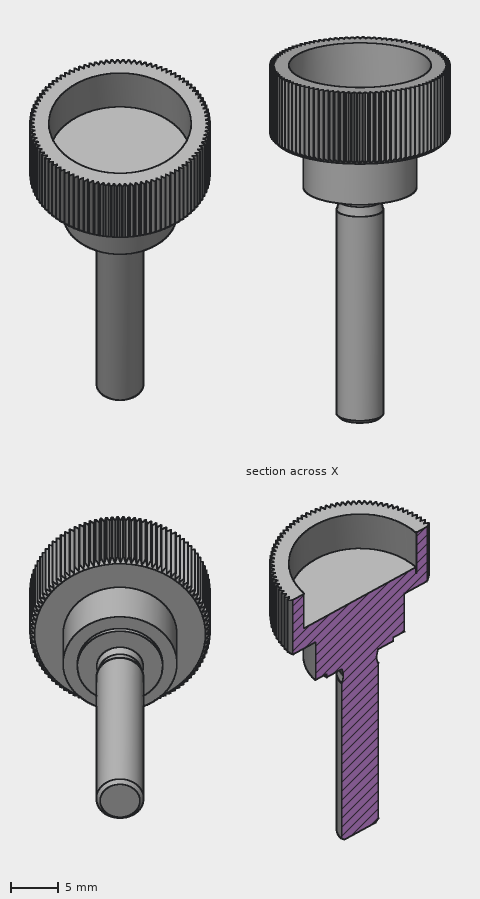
import cadquery as cq
import math

shank_length = 25.0
collar_height = 0.5
hub_height = 5.5
rim_height = 8.0
hub_bottom = collar_height
rim_bottom = hub_bottom + hub_height
rim_top = rim_bottom + rim_height

rim_diameter = 19.0
tooth_count = 100
groove_width = 0.5
groove_angle = 60.0
rim_chamfer = 0.5
pocket_diameter = 15.0
pocket_depth = 5.0

hub_diameter = 12.0
collar_diameter = 9.0

shank_diameter = 5.0
shank_chamfer = 0.4
neck_length = 2.0
neck_end_diameter = 4.9
neck_waist_diameter = 4.5


def polar_point(radius, angle):
    return (radius * math.cos(angle), radius * math.sin(angle))


def knurled_rim():
    """Straight-knurled disc with V grooves, narrow crests and a chamfered lower edge."""
    tip_radius = rim_diameter / 2
    half_groove = math.asin(groove_width / 2 / tip_radius)
    groove_depth = groove_width / 2 / math.tan(math.radians(groove_angle / 2))
    root_radius = tip_radius * math.cos(half_groove) - groove_depth
    pitch_angle = 2 * math.pi / tooth_count
    first_point = polar_point(tip_radius, -half_groove)
    outline = cq.Workplane("XY").workplane(offset=rim_bottom).moveTo(*first_point)
    for tooth in range(tooth_count):
        root = tooth * pitch_angle
        crest_start = polar_point(tip_radius, root + half_groove)
        crest_middle = polar_point(tip_radius, root + pitch_angle / 2)
        crest_end = polar_point(tip_radius, root + pitch_angle - half_groove)
        outline = outline.lineTo(*polar_point(root_radius, root)).lineTo(*crest_start)
        outline = outline.threePointArc(crest_middle, crest_end)
    teeth = outline.close().extrude(rim_height)
    envelope = (
        cq.Workplane("XY")
        .workplane(offset=rim_bottom)
        .circle(tip_radius)
        .extrude(rim_height)
        .faces("<Z")
        .chamfer(rim_chamfer)
    )
    return teeth.intersect(envelope)


def pocket():
    """Round recess in the top of the rim."""
    floor_height = rim_top - pocket_depth
    return cq.Workplane("XY").workplane(offset=floor_height).circle(pocket_diameter / 2).extrude(pocket_depth)


def hub_and_stud():
    """Turned hub, collar, waisted neck and chamfered shank."""
    shank_radius = shank_diameter / 2
    neck_end_radius = neck_end_diameter / 2
    profile = (
        cq.Workplane("XZ")
        .moveTo(0, rim_bottom)
        .lineTo(hub_diameter / 2, rim_bottom)
        .lineTo(hub_diameter / 2, hub_bottom)
        .lineTo(collar_diameter / 2, hub_bottom)
        .lineTo(collar_diameter / 2, 0)
        .lineTo(neck_end_radius, 0)
        .lineTo(neck_waist_diameter / 2, -neck_length / 2)
        .lineTo(neck_end_radius, -neck_length)
        .lineTo(shank_radius, -neck_length)
        .lineTo(shank_radius, shank_chamfer - shank_length)
        .lineTo(shank_radius - shank_chamfer, -shank_length)
        .lineTo(0, -shank_length)
        .close()
    )
    return profile.revolve(360, (0, 0, 0), (0, 1, 0))


result = knurled_rim().union(hub_and_stud()).cut(pocket())